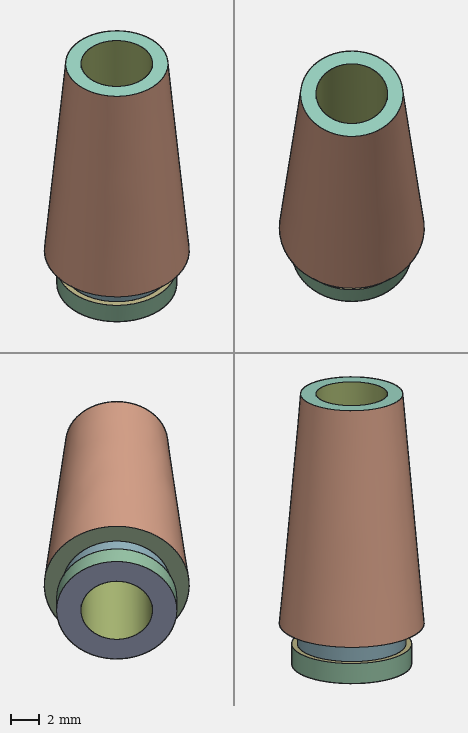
import cadquery as cq

total_height = 20.0
bore_diameter = 5.0
flange_diameter = 8.4
neck_diameter = 7.6
flange_height = 1.5
neck_height = 1.5
cone_base_diameter = 10.15
cone_top_diameter = 7.15

neck_bottom = flange_height
cone_bottom = neck_bottom + neck_height


def sleeve_body():
    """Revolve the half section: flange, neck and tapered sleeve around a through bore."""
    half_section = [
        (bore_diameter / 2, 0),
        (flange_diameter / 2, 0),
        (flange_diameter / 2, neck_bottom),
        (neck_diameter / 2, neck_bottom),
        (neck_diameter / 2, cone_bottom),
        (cone_base_diameter / 2, cone_bottom),
        (cone_top_diameter / 2, total_height),
        (bore_diameter / 2, total_height),
    ]
    return cq.Workplane("XZ").polyline(half_section).close().revolve(360, (0, 0), (0, 1))


result = sleeve_body()